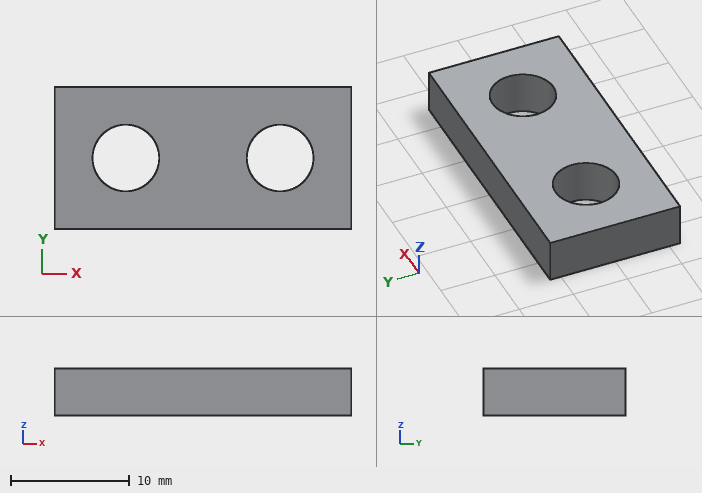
import cadquery as cq

length = 25.0
width = 12.0
thickness = 4.0

hole_diameter = 5.6
hole_spacing = 13.0

plate = cq.Workplane("XY").box(length, width, thickness)

result = (
    plate.faces(">Z")
    .workplane()
    .pushPoints([(-hole_spacing / 2, 0), (hole_spacing / 2, 0)])
    .hole(hole_diameter)
)